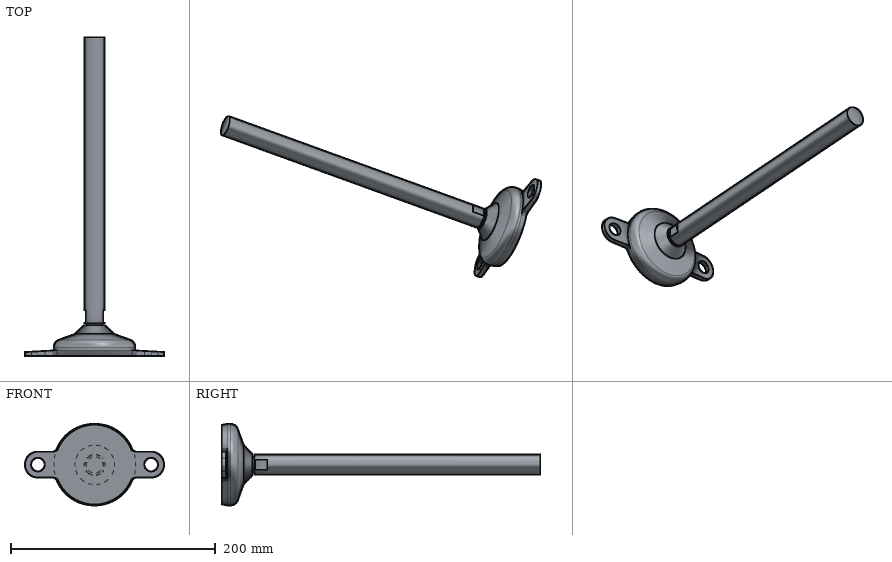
import cadquery as cq
import math

total_length = 311.5

base_radius = 39.0
plate_height = 5.5
lug_spacing = 110.5
lug_radius = 12.8
lug_tip_height = 4.0
lug_hole_radius = 6.5
lug_fillet = 4.0

rim_radius = 40.03
rim_height = 8.5
rim_round = 8.0
lower_cone_angle = 20.0
cone_break_radius = 19.3
foot_top_radius = 10.3
foot_height = 30.2

stem_radius = 10.0
neck_radius = 8.0
neck_length = 2.0
flat_half_width = 8.7
flat_start = 32.7
flat_end = 45.0

lug_center = lug_spacing / 2
lug_tip = lug_center + lug_radius


def revolve_about_y(profile):
    """Revolve a closed XY profile a full turn about the Y axis."""
    return profile.close().revolve(360, (0, 0, 0), (0, 1, 0))


def make_lug_strip():
    """Round-ended strip whose back slopes down from the plate towards both tips."""
    strip = (
        cq.Workplane("XZ")
        .slot2D(2 * lug_tip, 2 * lug_radius)
        .extrude(-plate_height)
    )
    sloped_outline = (
        cq.Workplane("XY")
        .moveTo(-lug_tip, 0)
        .lineTo(lug_tip, 0)
        .lineTo(lug_tip, lug_tip_height)
        .lineTo(rim_radius, plate_height)
        .lineTo(-rim_radius, plate_height)
        .lineTo(-lug_tip, lug_tip_height)
        .close()
        .extrude(lug_radius, both=True)
    )
    return strip.intersect(sloped_outline)


def make_plate():
    """Drafted disc joined to the lugs, with rounded inside corners."""
    disc = revolve_about_y(
        cq.Workplane("XY")
        .lineTo(base_radius, 0)
        .lineTo(rim_radius, plate_height)
        .lineTo(0, plate_height)
    )
    plate = disc.union(make_lug_strip())

    corner_x = math.sqrt(((base_radius + rim_radius) / 2) ** 2 - lug_radius**2)
    for side_x in (-1, 1):
        for side_z in (-1, 1):
            corner = (side_x * corner_x, plate_height / 2, side_z * lug_radius)
            plate = plate.edges(cq.selectors.NearestToPointSelector(corner)).fillet(lug_fillet)
    return plate


def make_dome():
    """Straight rim with a rounded shoulder, followed by a shallow cone and a steep cone."""
    slope = math.radians(lower_cone_angle)
    round_center_radius = rim_radius - rim_round
    round_end_radius = round_center_radius + rim_round * math.sin(slope)
    round_end_height = rim_height + rim_round * math.cos(slope)
    mid_angle = (math.pi / 2 - slope) / 2
    round_middle = (
        round_center_radius + rim_round * math.cos(mid_angle),
        rim_height + rim_round * math.sin(mid_angle),
    )
    cone_break_height = round_end_height + (round_end_radius - cone_break_radius) * math.tan(slope)
    return revolve_about_y(
        cq.Workplane("XY")
        .moveTo(0, plate_height)
        .lineTo(rim_radius, plate_height)
        .lineTo(rim_radius, rim_height)
        .threePointArc(round_middle, (round_end_radius, round_end_height))
        .lineTo(cone_break_radius, cone_break_height)
        .lineTo(foot_top_radius, foot_height)
        .lineTo(0, foot_height)
    )


def make_foot():
    lug_holes = (
        cq.Workplane("XZ")
        .pushPoints([(-lug_center, 0), (lug_center, 0)])
        .circle(lug_hole_radius)
        .extrude(-plate_height)
    )
    return make_plate().union(make_dome()).cut(lug_holes).solids()


def make_stem():
    """Plain rod with a thinner neck resting on the foot and two wrench flats."""
    shoulder = foot_height + neck_length
    stem = revolve_about_y(
        cq.Workplane("XY")
        .moveTo(0, foot_height)
        .lineTo(neck_radius, foot_height)
        .lineTo(neck_radius, shoulder)
        .lineTo(stem_radius, shoulder)
        .lineTo(stem_radius, total_length)
        .lineTo(0, total_length)
    )
    for side in (-1, 1):
        flat_cut = (
            cq.Workplane("XY")
            .moveTo(side * flat_half_width, flat_start)
            .lineTo(side * stem_radius, flat_start)
            .lineTo(side * stem_radius, flat_end)
            .lineTo(side * flat_half_width, flat_end)
            .close()
            .extrude(stem_radius, both=True)
        )
        stem = stem.cut(flat_cut)
    return stem


foot = make_foot()
stem = make_stem()

result = cq.Compound.makeCompound([foot.val(), stem.val()])